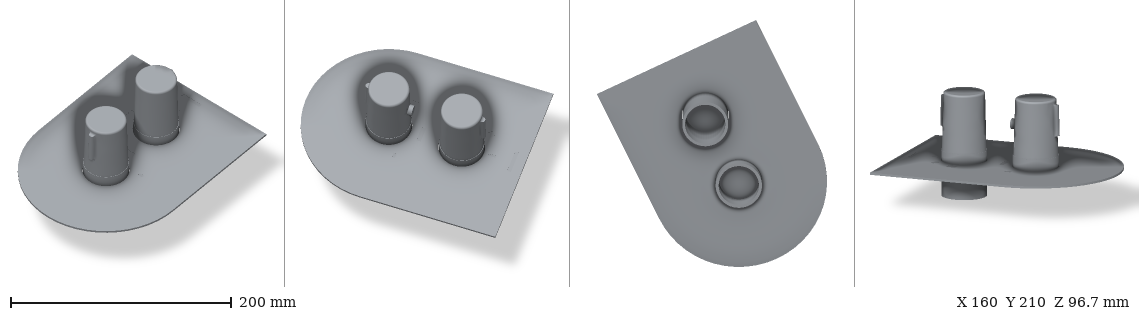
import cadquery as cq
import math

plate_width = 160.0
plate_length = 210.0
plate_thickness = 2.0
plate_end_radius = plate_width / 2
plate_straight_end_y = plate_length - plate_end_radius
plate_hole_diameter = 42.5

knob_spacing = 70.0
knob_top_z = 63.65
total_height = 96.65

upper_sleeve_diameter = 41.6
lower_sleeve_diameter = 42.0
sleeve_bore_diameter = 36.5
seat_wall = 0.25
upper_sleeve_bottom_z = knob_top_z - total_height
upper_sleeve_top_z = 9.6
upper_knob_bottom_z = 8.9
lower_sleeve_bottom_z = -13.9
lower_sleeve_top_z = 10.9
lower_knob_bottom_z = 9.5

stop_groove_top_z = 8.9
stop_groove_height = 4.1
stop_groove_angle = 90.0
stop_groove_wall = 0.45

lower_knob_bottom_diameter = 40.8
lower_knob_top_diameter = 37.3
upper_knob_bottom_diameter = 40.4
upper_knob_top_diameter = 37.8
knob_rim_radius = 2.0

cap_diameter = 31.6
cap_thickness = 2.0

pointer_top_z = 58.5
pointer_bottom_z = 30.2
pointer_radius = 2.75
pointer_height = 3.4
pointer_fillet = 2.0
root_search_margin = 1.5

button_diameter = 9.8
button_center_z = 37.6
button_tip_y = 23.4
button_seat_y = 14.0

side_slot_width = 2.4
side_slot_height = 4.8
side_slot_depth = 1.0
side_slot_center_z = 20.9
side_slot_angle = 34.5

mark_depth = 0.2
marks = [
    (21.4, 3.5, 0.0, 119.1, 0.0),
    (2.0, 6.9, 0.0, 98.9, 0.0),
    (7.1, 5.6, -20.2, knob_spacing + 20.2, -45.0),
    (6.9, 8.2, -29.3, knob_spacing, 0.0),
    (14.4, 4.1, 0.0, 31.0, 0.0),
    (4.8, 5.5, -29.0, 15.2, 0.0),
    (4.8, 2.8, 28.7, 15.2, 0.0),
]


def cylinder(diameter, bottom_z, top_z):
    """A vertical cylinder on the Z axis."""
    return cq.Workplane("XY").workplane(offset=bottom_z).circle(diameter / 2).extrude(top_z - bottom_z)


def to_upper_place(body):
    """Move a body from the lower knob axis to the upper one, turned half way round."""
    return body.rotate((0, 0, 0), (0, 0, 1), 180).translate((0, knob_spacing, 0))


def make_plate():
    """Plate with one square end, one round end, two sleeve holes and the marks."""
    plate = (
        cq.Workplane("XY")
        .moveTo(-plate_end_radius, plate_straight_end_y)
        .lineTo(-plate_end_radius, 0)
        .threePointArc((0, -plate_end_radius), (plate_end_radius, 0))
        .lineTo(plate_end_radius, plate_straight_end_y)
        .close()
        .extrude(-plate_thickness)
    )
    holes = (
        cq.Workplane("XY")
        .pushPoints([(0, 0), (0, knob_spacing)])
        .circle(plate_hole_diameter / 2)
        .extrude(-plate_thickness)
    )
    plate = plate.cut(holes)
    for width, length, x, y, turn in marks:
        recess = (
            cq.Workplane("XY")
            .rect(width, length)
            .extrude(-mark_depth)
            .rotate((0, 0, 0), (0, 0, 1), turn)
            .translate((x, y, 0))
        )
        plate = plate.cut(recess)
    return plate


def make_sleeve(diameter, bottom_z, top_z, seat_z):
    """Tube with a wider seat at its top for the foot of the knob."""
    tube = cylinder(diameter, bottom_z, top_z)
    bore = cylinder(sleeve_bore_diameter, bottom_z, top_z)
    seat = cylinder(diameter - 2 * seat_wall, seat_z, top_z)
    return tube.cut(bore).cut(seat)


def make_stop_groove():
    """Arc of rectangular section, centred on the -Y direction."""
    inner_radius = sleeve_bore_diameter / 2
    outer_radius = lower_sleeve_diameter / 2 - stop_groove_wall
    return (
        cq.Workplane("XZ")
        .moveTo(inner_radius, stop_groove_top_z)
        .lineTo(outer_radius, stop_groove_top_z)
        .lineTo(outer_radius, stop_groove_top_z - stop_groove_height)
        .lineTo(inner_radius, stop_groove_top_z - stop_groove_height)
        .close()
        .revolve(stop_groove_angle, (0, 0), (0, -1))
        .rotate((0, 0, 0), (0, 0, 1), -90 + stop_groove_angle / 2)
    )


def make_knob(bottom_diameter, top_diameter, bottom_z):
    """Tapered knob with a rounded rim and its pointer toward -Y."""
    height = knob_top_z - bottom_z
    slope = (bottom_diameter - top_diameter) / 2 / height
    taper = math.degrees(math.atan(slope))
    cone = (
        cq.Workplane("XY")
        .workplane(offset=bottom_z)
        .circle(bottom_diameter / 2)
        .extrude(height, taper=taper)
        .faces(">Z")
        .edges()
        .fillet(knob_rim_radius)
    )

    middle_z = (pointer_top_z + pointer_bottom_z) / 2
    surface_radius = bottom_diameter / 2 - (middle_z - bottom_z) * slope
    root_depth = surface_radius / 2
    arc_center_height = pointer_height - pointer_radius
    bar = (
        cq.Workplane("XY")
        .moveTo(-pointer_radius, root_depth)
        .lineTo(-pointer_radius, -arc_center_height)
        .threePointArc((0, -pointer_height), (pointer_radius, -arc_center_height))
        .lineTo(pointer_radius, root_depth)
        .close()
        .extrude((pointer_top_z - pointer_bottom_z) / 2, both=True)
        .rotate((0, 0, 0), (1, 0, 0), -taper)
        .translate((0, -surface_radius, middle_z))
    )

    root_region = cq.selectors.BoxSelector(
        (
            -pointer_radius - root_search_margin,
            -surface_radius - root_search_margin,
            pointer_bottom_z - root_search_margin,
        ),
        (
            pointer_radius + root_search_margin,
            -surface_radius + root_search_margin,
            pointer_top_z + root_search_margin,
        ),
    )
    return (
        cone.union(bar)
        .edges(root_region)
        .filter(lambda edge: edge.geomType() in ("ELLIPSE", "HYPERBOLA"))
        .fillet(pointer_fillet)
    )


def make_cap():
    """Disc flush with the top of a knob."""
    return cylinder(cap_diameter, knob_top_z - cap_thickness, knob_top_z)


def make_button():
    """Horizontal pin that points toward +Y."""
    return (
        cq.Workplane("XZ", origin=(0, button_seat_y, button_center_z))
        .circle(button_diameter / 2)
        .extrude(button_seat_y - button_tip_y)
    )


def make_side_slot():
    """Radial pocket in the wall of the lower knob, to the -X side of the button."""
    reach = lower_knob_bottom_diameter / 2
    floor_radius = lower_knob_top_diameter / 2 - side_slot_depth
    return (
        cq.Workplane("XZ", origin=(0, floor_radius, side_slot_center_z))
        .rect(side_slot_width, side_slot_height)
        .extrude(floor_radius - reach)
        .rotate((0, 0, 0), (0, 0, 1), side_slot_angle)
    )


plate = make_plate()
cap = make_cap()
button = make_button()

lower_sleeve = make_sleeve(
    lower_sleeve_diameter, lower_sleeve_bottom_z, lower_sleeve_top_z, lower_knob_bottom_z
).cut(make_stop_groove())
lower_knob = (
    make_knob(lower_knob_bottom_diameter, lower_knob_top_diameter, lower_knob_bottom_z)
    .cut(cap)
    .cut(button)
    .cut(make_side_slot())
)

upper_sleeve = to_upper_place(
    make_sleeve(upper_sleeve_diameter, upper_sleeve_bottom_z, upper_sleeve_top_z, upper_knob_bottom_z)
)
upper_knob = to_upper_place(
    make_knob(upper_knob_bottom_diameter, upper_knob_top_diameter, upper_knob_bottom_z).cut(cap)
)
upper_cap = to_upper_place(cap)

result = cq.Compound.makeCompound(
    [
        plate.val(),
        lower_sleeve.val(),
        lower_knob.val(),
        cap.val(),
        button.val(),
        upper_sleeve.val(),
        upper_knob.val(),
        upper_cap.val(),
    ]
)